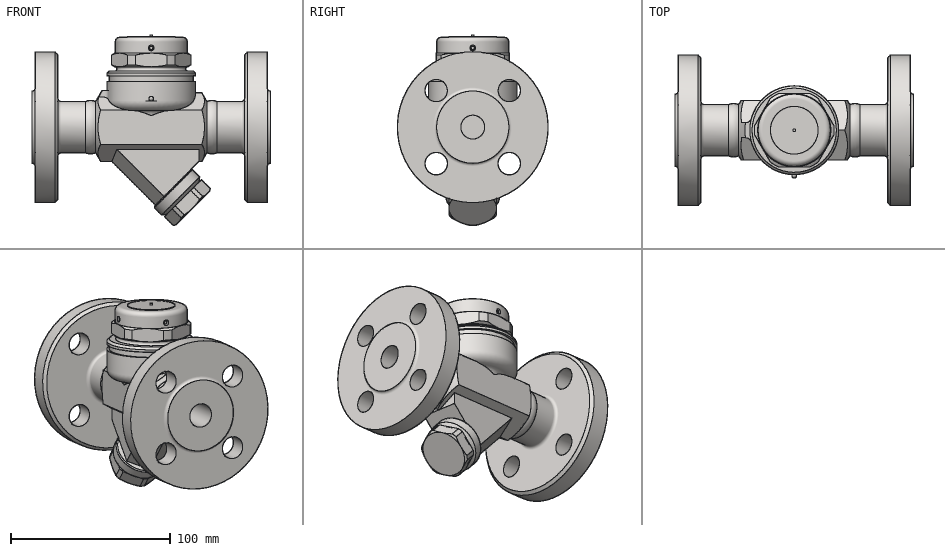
import cadquery as cq
import math


half_length = 75.0
raised_face_dia = 45.5
raised_face_height = 2.0
flange_dia = 95.0
flange_thickness = 14.4
flange_chamfer = 2.0
bolt_circle_dia = 65.0
bolt_hole_dia = 14.0
bolt_count = 4
bore_dia = 15.0
bore_depth = 39.9

pipe_dia = 32.4
pipe_fillet = 2.1
weld_dia = 33.8
weld_start = 41.2

block_flats = 37.5
block_half_length = 35.1
block_end_dia = 32.0
turning_slope = math.sqrt(3)

lug_width = 9.5
lug_top = 23.1
lug_fillet = 3.8

bowl_dia = 56.0
bowl_rim_z = 28.8
bowl_fillet = 6.0
bowl_bottom_z = 10.4
bowl_neck_fillet = 3.2
stud_dia = 3.0
stud_z = 17.8
stud_tip = 30.2

leg_axis_x = -24.8
leg_tilt = 135
leg_flats = 26.5
leg_length = 54.0
web_end_x = 30.2

collar_dia = 34.0
collar_length = 7.2
collar_chamfer = 0.8
plug_neck_dia = 29.1
plug_taper_length = 2.0
plug_hex_flats = 30.0
plug_hex_dia = 33.0
plug_hex_length = 8.8

cover_groove_dia = 53.0
cover_flange_z = 32.2
cover_flange_top = 35.4
cover_flange_chamfer = 1.5
cover_waist_dia = 45.0
cover_waist_depth = 0.8
cover_hex_flats = 46.0
cover_hex_dia = 50.1
cover_hex_bottom = 38.0
cover_hex_top = 46.5
cover_cap_dia = 45.5
cover_cap_top = 56.5
cover_cap_fillet = 3.0
name_disc_dia = 30.0
name_disc_height = 0.5
top_pin_dia = 1.8
top_pin_height = 1.0
dimple_mouth_dia = 3.6
dimple_countersink = 0.8
dimple_depth = 1.5
dimple_z = 49.8
dimple_count = 4

hex_corner_ratio = 2 / math.sqrt(3)
quarter_arc = math.sqrt(0.5)


def turned(profile):
    """Solid turned about Z from a closed (radius, height) outline."""
    return profile.close().revolve(360, (0, 0, 0), (0, 1, 0))


def along_x(solid):
    """Swing a solid standing on +Z round so that it lies along +X."""
    return solid.rotate((0, 0, 0), (0, 1, 0), 90)


def turned_hex(flats, corner_dia, bottom, top, chamfer_bottom):
    """Hexagonal nut with its corners turned round and chamfered on top and optionally below."""
    corner_radius = corner_dia / 2
    face_radius = flats / 2
    chamfer = (corner_radius - face_radius) / math.sqrt(3)
    prism = (
        cq.Workplane("XY", origin=(0, 0, bottom))
        .polygon(6, flats * hex_corner_ratio)
        .extrude(top - bottom)
    )
    outline = cq.Workplane("XZ").moveTo(0, bottom)
    if chamfer_bottom:
        outline = outline.lineTo(face_radius, bottom).lineTo(corner_radius, bottom + chamfer)
    else:
        outline = outline.lineTo(corner_radius, bottom)
    outline = outline.lineTo(corner_radius, top - chamfer).lineTo(face_radius, top).lineTo(0, top)
    return prism.intersect(turned(outline))


def pipe_end():
    """Pipe stub with its weld bead, flange and bolt holes, lying along +X."""
    pipe_r = pipe_dia / 2
    flange_r = flange_dia / 2
    face_r = raised_face_dia / 2
    flange_front = half_length - raised_face_height
    flange_back = flange_front - flange_thickness
    face_fillet = raised_face_height
    weld_middle = (weld_start + block_half_length) / 2
    outline = (
        cq.Workplane("XZ")
        .lineTo(pipe_r, 0)
        .lineTo(pipe_r, block_half_length)
        .threePointArc((weld_dia / 2, weld_middle), (pipe_r, weld_start))
        .lineTo(pipe_r, flange_back - pipe_fillet)
        .threePointArc(
            (pipe_r + pipe_fillet * (1 - quarter_arc), flange_back - pipe_fillet * (1 - quarter_arc)),
            (pipe_r + pipe_fillet, flange_back),
        )
        .lineTo(flange_r - flange_chamfer, flange_back)
        .lineTo(flange_r, flange_back + flange_chamfer)
        .lineTo(flange_r, flange_front)
        .lineTo(face_r + face_fillet, flange_front)
        .threePointArc(
            (face_r + face_fillet * (1 - quarter_arc), flange_front + face_fillet * (1 - quarter_arc)),
            (face_r, half_length),
        )
        .lineTo(0, half_length)
    )
    bolt_holes = (
        cq.Workplane("XY")
        .polarArray(bolt_circle_dia / 2, 180 / bolt_count, 360, bolt_count)
        .circle(bolt_hole_dia / 2)
        .extrude(half_length)
    )
    return along_x(turned(outline).cut(bolt_holes))


def lug():
    """Small pad on the block's ridge, blended into the bowl wall on both sides."""
    bowl_r = bowl_dia / 2
    side = lug_width / 2
    fillet_y = side + lug_fillet
    fillet_x = math.sqrt((bowl_r + lug_fillet) ** 2 - fillet_y**2)
    fillet_angle = math.atan2(fillet_y, fillet_x)
    mid_angle = (fillet_angle + math.pi / 2) / 2
    arc_mid = (
        lug_fillet * math.cos(mid_angle) - fillet_x,
        fillet_y - lug_fillet * math.sin(mid_angle),
    )
    arc_end = (-bowl_r * math.cos(fillet_angle), bowl_r * math.sin(fillet_angle))
    half = (
        cq.Workplane("XY", origin=(0, 0, bowl_bottom_z))
        .moveTo(-block_half_length, 0)
        .lineTo(-block_half_length, side)
        .lineTo(-fillet_x, side)
        .threePointArc(arc_mid, arc_end)
        .lineTo(arc_end[0], 0)
        .close()
        .extrude(lug_top - bowl_bottom_z)
    )
    return half.union(half.mirror("XZ"))


def block():
    """Hexagonal block and its lug, with both ends turned to a cone."""
    hexagon = along_x(
        cq.Workplane("XY")
        .polygon(6, block_flats * hex_corner_ratio)
        .extrude(2 * block_half_length)
        .translate((0, 0, -block_half_length))
    )
    end_r = block_end_dia / 2
    middle_r = end_r + block_half_length * turning_slope
    cones = along_x(
        turned(
            cq.Workplane("XZ")
            .moveTo(0, -block_half_length)
            .lineTo(end_r, -block_half_length)
            .lineTo(middle_r, 0)
            .lineTo(end_r, block_half_length)
            .lineTo(0, block_half_length)
        )
    )
    return hexagon.union(lug()).intersect(cones)


def bowl():
    """Bowl that carries the cover, blended into the block, with a domed stud in front."""
    bowl_r = bowl_dia / 2
    neck_r = block_flats / 2
    blend = bowl_neck_fillet
    outline = (
        cq.Workplane("XZ")
        .lineTo(neck_r, 0)
        .lineTo(neck_r, bowl_bottom_z - blend)
        .threePointArc(
            (neck_r + blend * (1 - quarter_arc), bowl_bottom_z - blend * (1 - quarter_arc)),
            (neck_r + blend, bowl_bottom_z),
        )
        .lineTo(bowl_r - bowl_fillet, bowl_bottom_z)
        .threePointArc(
            (
                bowl_r - bowl_fillet * (1 - quarter_arc),
                bowl_bottom_z + bowl_fillet * (1 - quarter_arc),
            ),
            (bowl_r, bowl_bottom_z + bowl_fillet),
        )
        .lineTo(bowl_r, bowl_rim_z)
        .lineTo(0, bowl_rim_z)
    )
    stud_r = stud_dia / 2
    dome_y = stud_tip - stud_r
    stud = cq.Workplane("XZ", origin=(0, 0, stud_z)).circle(stud_r).extrude(dome_y)
    dome = cq.Workplane("XY").sphere(stud_r).translate((0, -dome_y, stud_z))
    return turned(outline).union(stud).union(dome)


def plug():
    """Strainer plug along +Z: collar, taper and hexagonal head."""
    collar_r = collar_dia / 2
    neck_r = plug_neck_dia / 2
    collar_top = leg_length + collar_length
    head_bottom = collar_top + plug_taper_length
    shank = turned(
        cq.Workplane("XZ")
        .moveTo(0, leg_length)
        .lineTo(collar_r - collar_chamfer, leg_length)
        .lineTo(collar_r, leg_length + collar_chamfer)
        .lineTo(collar_r, collar_top)
        .lineTo(neck_r, head_bottom)
        .lineTo(0, head_bottom)
    )
    head = turned_hex(
        plug_hex_flats, plug_hex_dia, head_bottom, head_bottom + plug_hex_length, False
    )
    return shank.union(head)


def strainer_leg():
    """Sloping hexagonal leg with its plug, joined to the block by a flat web."""
    leg = (
        cq.Workplane("XY")
        .polygon(6, leg_flats * hex_corner_ratio)
        .extrude(leg_length)
        .union(plug())
        .rotate((0, 0, 0), (0, 1, 0), leg_tilt)
        .translate((leg_axis_x, 0, 0))
    )
    leg_end = leg_length * quarter_arc
    end_centre = (leg_axis_x + leg_end, -leg_end)
    web = (
        cq.Workplane("XZ")
        .moveTo(leg_axis_x, 0)
        .lineTo(*end_centre)
        .lineTo(web_end_x, end_centre[1] + web_end_x - end_centre[0])
        .lineTo(web_end_x, 0)
        .close()
        .extrude(leg_flats / 2, both=True)
    )
    return leg.union(web)


def valve_body():
    """One-piece body: block, bowl, strainer leg and two flanged ends."""
    bore = (
        cq.Workplane("YZ", origin=(half_length - bore_depth, 0, 0))
        .circle(bore_dia / 2)
        .extrude(bore_depth)
    )
    outlet = pipe_end()
    inlet = outlet.mirror("YZ")
    solid = block().union(bowl()).union(strainer_leg()).union(outlet).union(inlet)
    return solid.cut(bore).cut(bore.mirror("YZ"))


def cover():
    """Screw-on cover: flange, waist, hexagon, round cap, name disc and centre pin."""
    groove_r = cover_groove_dia / 2
    flange_r = bowl_dia / 2
    waist_r = cover_waist_dia / 2
    waist_middle = (cover_flange_top + cover_hex_bottom) / 2
    cap_r = cover_cap_dia / 2
    shank = turned(
        cq.Workplane("XZ")
        .moveTo(0, bowl_rim_z)
        .lineTo(groove_r, bowl_rim_z)
        .lineTo(groove_r, cover_flange_z)
        .lineTo(flange_r, cover_flange_z)
        .lineTo(flange_r, cover_flange_top - cover_flange_chamfer)
        .lineTo(flange_r - cover_flange_chamfer, cover_flange_top)
        .lineTo(waist_r, cover_flange_top)
        .threePointArc((waist_r - cover_waist_depth, waist_middle), (waist_r, cover_hex_bottom))
        .lineTo(0, cover_hex_bottom)
    )
    hexagon = turned_hex(
        cover_hex_flats, cover_hex_dia, cover_hex_bottom, cover_hex_top, True
    )
    cap = (
        cq.Workplane("XY", origin=(0, 0, cover_hex_top))
        .circle(cap_r)
        .extrude(cover_cap_top - cover_hex_top)
        .faces(">Z")
        .edges()
        .fillet(cover_cap_fillet)
        .faces(">Z")
        .workplane()
        .circle(name_disc_dia / 2)
        .extrude(name_disc_height)
        .faces(">Z")
        .workplane()
        .circle(top_pin_dia / 2)
        .extrude(top_pin_height)
    )
    solid = shank.union(hexagon).union(cap)
    mouth_r = dimple_mouth_dia / 2
    dimple_r = mouth_r - dimple_countersink
    dimple = along_x(
        turned(
            cq.Workplane("XZ")
            .moveTo(0, cap_r - dimple_depth)
            .lineTo(dimple_r, cap_r - dimple_depth)
            .lineTo(dimple_r, cap_r - dimple_countersink)
            .lineTo(mouth_r, cap_r)
            .lineTo(mouth_r, cap_r + dimple_depth)
            .lineTo(0, cap_r + dimple_depth)
        )
    ).translate((0, 0, dimple_z))
    for index in range(dimple_count):
        solid = solid.cut(dimple.rotate((0, 0, 0), (0, 0, 1), index * 360 / dimple_count))
    return solid


result = cq.Compound.makeCompound([valve_body().val(), cover().val()])